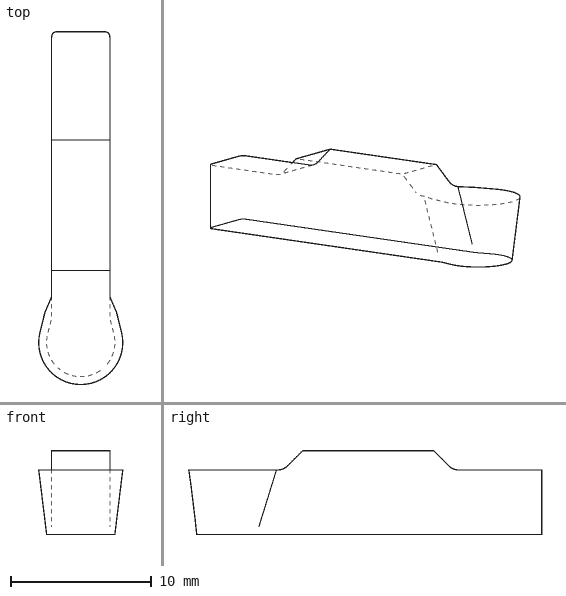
import cadquery as cq
import math

total_length = 25.05
total_height = 5.97
nose_diameter = 5.98
nose_radius = nose_diameter / 2

shank_width = 4.15
deck_height = 4.6
tail_corner_radius = 0.4
ramp_angle = 45.0
ramp_foot_radius = 1.0
crest_front = 8.1
crest_rear = 17.37

side_relief_angle = 7.0
front_flank_angle = 14.0
knee_from_tip = 5.14
neck_from_tip = 6.23

tip_y = -nose_radius
tail_y = tip_y + total_length
half_width = shank_width / 2

slope = math.radians(ramp_angle)
foot_run = ramp_foot_radius * math.sin(slope)
foot_rise = ramp_foot_radius * (1 - math.cos(slope))
straight_run = (total_height - deck_height - foot_rise) / math.tan(slope)


def foot_mid_point(end_y, direction):
    """Middle of the foot arc that starts flat at end_y and rises along direction."""
    mid_run = ramp_foot_radius * math.sin(slope / 2)
    mid_rise = ramp_foot_radius * (1 - math.cos(slope / 2))
    return (end_y + direction * mid_run, deck_height + mid_rise)


def make_shank():
    """Bar with its side profile in the YZ plane, starting at the nose centre."""
    crest_front_y = tip_y + crest_front
    crest_rear_y = tip_y + crest_rear
    front_foot_top = crest_front_y - straight_run
    rear_foot_top = crest_rear_y + straight_run
    front_foot_end = front_foot_top - foot_run
    rear_foot_end = rear_foot_top + foot_run
    foot_top_z = deck_height + foot_rise

    profile = (
        cq.Workplane("YZ")
        .moveTo(0, 0)
        .lineTo(0, deck_height)
        .lineTo(front_foot_end, deck_height)
        .threePointArc(foot_mid_point(front_foot_end, 1), (front_foot_top, foot_top_z))
        .lineTo(crest_front_y, total_height)
        .lineTo(crest_rear_y, total_height)
        .lineTo(rear_foot_top, foot_top_z)
        .threePointArc(foot_mid_point(rear_foot_end, -1), (rear_foot_end, deck_height))
        .lineTo(tail_y, deck_height)
        .lineTo(tail_y, 0)
        .close()
    )
    bar = profile.extrude(half_width, both=True)
    return bar.edges("|Z and >Y").fillet(tail_corner_radius)


def make_nose():
    """Teardrop on the deck plane, extruded down with the side relief as taper."""
    flank = math.radians(front_flank_angle)
    tangent_x = nose_radius * math.cos(flank)
    tangent_y = nose_radius * math.sin(flank)
    knee_y = tip_y + knee_from_tip
    knee_x = tangent_x - (knee_y - tangent_y) * math.tan(flank)
    neck_y = tip_y + neck_from_tip

    apex_y = knee_y + knee_x * (neck_y - knee_y) / (knee_x - half_width)
    outline = (
        cq.Workplane("XY", origin=(0, 0, deck_height))
        .moveTo(tangent_x, tangent_y)
        .threePointArc((0, tip_y), (-tangent_x, tangent_y))
        .lineTo(-knee_x, knee_y)
        .lineTo(0, apex_y)
        .lineTo(knee_x, knee_y)
        .close()
    )
    return outline.extrude(-deck_height, taper=side_relief_angle)


result = make_shank().union(make_nose())